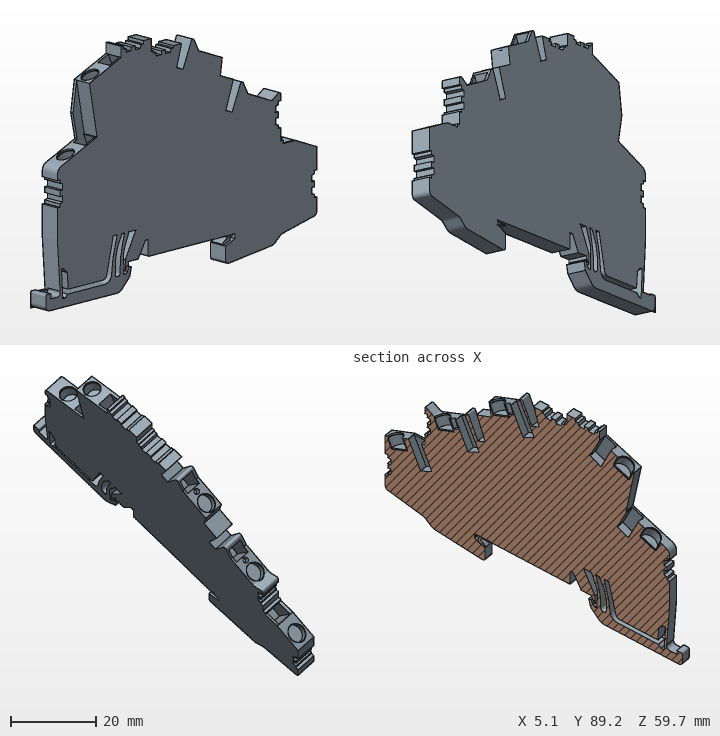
import cadquery as cq
import math

HOUSING_WIDTH = 5.1
SIDE_PLATE = 0.8
FAR_WALL = 0.5
HALF_WIDTH = HOUSING_WIDTH / 2
OVERCUT = 2.7

TOP_Z = 29.8
FOOT_Z = -29.9
SEAT_Z = -22.9
FLEX_SLOT_Z = -15.7
REAR_Y = 44.6
REAR_STEP_Y = 32.7
FRONT_RECESS_Y = -27.7
CROWN_FRONT_Y = -19.8
FRONT_Y = -40.75
FOOT_TIP_Y = -44.6
NOTCH_Y = 17.7
NOTCH_Z = -24.1
LIP_Y = 14.5
LIP_Z = -25.3
FRONT_STRIP_Y = -39.9
FOOT_SHELF_Z = -26.1
FOOT_RIDGE_Y = -42.8
FOOT_RIDGE_Z = -25.8

FOOT_TROUGH_WALL = 1.0
FOOT_TROUGH_DEPTH = 0.9
FOOT_CORNER_WALL = 0.2
FOOT_CORNER_RADIUS = 1.3

FACE_TILT = 22.3
FACE_RISE = math.tan(math.radians(FACE_TILT))
FACE_SIN = math.sin(math.radians(FACE_TILT))
FACE_COS = math.cos(math.radians(FACE_TILT))

HOLE_WIDTH = 4.0
HOLE_LENGTH = 4.6
HOLE_RIM = 0.5
CUP_DEPTH = 2.7
CUP_FLOOR = 0.4
CUP_WALL = 0.2

POCKET_TILT = 24.5
POCKET_DEPTH = 7.1
POCKET_WIDTH = HOUSING_WIDTH - SIDE_PLATE - FAR_WALL
POCKET_MID_X = (SIDE_PLATE - FAR_WALL) / 2
POCKET_LENGTH = 3.9
TEST_HOLE_DIAMETER = 1.3
TEST_HOLE_DEPTH = 2.7

SEAT_HALF_LENGTH = 3.3
SHELF_HALF_LENGTH = 2.5
GROOVE_HALF_LENGTH = 2.2
TOOTH_HALF_LENGTH = 0.7
SHELF_DEPTH = 0.8
GROOVE_DEPTH = 1.7

CLIP_WIDTH = 3.6

REAR_LOW = dict(side=1, low_y=REAR_Y, low_z=-6.95, hole_y=41.55, pocket_y=37.45,
                pocket_z=-4.1)
REAR_MIDDLE = dict(side=1, low_y=29.7, low_z=7.1, hole_y=27.55, pocket_y=23.3,
                   pocket_z=9.7, test_y=24.25)
REAR_HIGH = dict(side=1, low_y=13.5, low_z=20.7, hole_y=11.1, pocket_y=6.8,
                 pocket_z=23.4, test_y=7.8)
FRONT_HIGH = dict(side=-1, low_y=-30.2, low_z=22.8, hole_y=-27.55, pocket_y=CROWN_FRONT_Y,
                  pocket_z=27.0)
FRONT_LOW = dict(side=-1, low_y=-39.9, low_z=4.4, hole_y=-35.6, pocket_y=FRONT_RECESS_Y - 0.3,
                 pocket_z=9.4)
TERMINALS = [REAR_LOW, REAR_MIDDLE, REAR_HIGH, FRONT_HIGH, FRONT_LOW]


def prism(points, x_start, x_end):
    """Extrude a (y, z[, corner radius]) outline along X."""
    count = len(points)
    pieces = []
    for i in range(count):
        here = cq.Vector(*points[i][:2])
        radius = points[i][2] if len(points[i]) == 3 else 0
        if not radius:
            pieces.append([here])
            continue
        back = (cq.Vector(*points[i - 1][:2]) - here).normalized()
        ahead = (cq.Vector(*points[(i + 1) % count][:2]) - here).normalized()
        half_angle = back.getAngle(ahead) / 2
        tangent = radius / math.tan(half_angle)
        bulge = radius / math.sin(half_angle) - radius
        middle = here + (back + ahead).normalized() * bulge
        pieces.append([here + back * tangent, middle, here + ahead * tangent])
    wire = cq.Workplane("YZ", origin=(x_start, 0, 0)).moveTo(*pieces[0][-1].toTuple()[:2])
    for piece in pieces[1:] + pieces[:1]:
        wire = wire.lineTo(*piece[0].toTuple()[:2])
        if len(piece) == 3:
            wire = wire.threePointArc(piece[1].toTuple()[:2], piece[2].toTuple()[:2])
    return wire.close().extrude(x_end - x_start)


def through_cut(points):
    return prism(points, -HALF_WIDTH - OVERCUT, HALF_WIDTH + OVERCUT)


def face_z(terminal, y):
    """Height of a terminal's sloping face at y."""
    return terminal["low_z"] + terminal["side"] * (terminal["low_y"] - y) * FACE_RISE


def face_point(terminal, y):
    return (y, face_z(terminal, y))


def face_plane(terminal, y, depth=0.0):
    """Plane parallel to the terminal face, sunk below it by depth; its X runs down the slope."""
    side = terminal["side"]
    origin = (0, y - side * FACE_SIN * depth, face_z(terminal, y) - FACE_COS * depth)
    return cq.Plane(origin, (0, side * FACE_COS, -FACE_SIN), (0, side * FACE_SIN, FACE_COS))


def oval(terminal, top, bottom, wall=0.0):
    """Oval prism square to the face, between two depths, at the terminal's wire entry."""
    plane = face_plane(terminal, terminal["hole_y"], top)
    profile = cq.Workplane(plane).ellipse(HOLE_LENGTH / 2 + wall, HOLE_WIDTH / 2 + wall)
    return profile.extrude(top - bottom)


def latch_and_slot(y, z):
    """Latch finger and the slanted bridge slot behind it, from the finger's foot at (y, z)."""
    steps = [(0, 0), (-1.6, 3.1, 0.45), (-2.3, 3.1, 0.45), (-5.2, -3.6), (-7.2, -2.7)]
    return [(y + step[0], z + step[1], *step[2:]) for step in steps]


def housing_outline():
    rear = [
        (REAR_Y, REAR_LOW["low_z"]), face_point(REAR_LOW, 37.5), (33.5, -4.1), (33.5, -3.3),
        (REAR_STEP_Y, -3.3), (REAR_STEP_Y, 8.6, 0.5), (32.0, 8.6, 0.3),
        (29.7, 7.0, 0.7), *latch_and_slot(*face_point(REAR_MIDDLE, 21.85)),
        (17.1, 14.7), (12.8, 16.4),
    ]
    crown = [
        face_point(REAR_HIGH, 13.5), *latch_and_slot(*face_point(REAR_HIGH, 5.7)),
        (0.1, 26.7), (-9.9, 26.7), (-9.9, TOP_Z), (CROWN_FRONT_Y, TOP_Z),
        face_point(FRONT_HIGH, CROWN_FRONT_Y),
    ]
    front = [
        (-30.2, FRONT_HIGH["low_z"]), (-31.4, 15.0), face_point(FRONT_LOW, -30.05),
        face_point(FRONT_LOW, FRONT_Y) + (2.05,), (FRONT_Y, -13.3, 8.0), (FRONT_STRIP_Y, FOOT_SHELF_Z),
    ]
    spring_foot = [
        (FOOT_RIDGE_Y, FOOT_SHELF_Z), (FOOT_RIDGE_Y, FOOT_RIDGE_Z, 0.2),
        (FOOT_TIP_Y, FOOT_RIDGE_Z, 0.45), (FOOT_TIP_Y, FOOT_Z),
        (-20.15, FOOT_Z, 2.7), (-16.9, -26.6), (-16.4, -24.3), (-17.3, -24.1),
        (-17.75, -25.2), (-18.4, -25.8), (-18.9, -25.8),
        (-19.0, -20.1, 5.35), (-17.2, FLEX_SLOT_Z), (-15.0, FLEX_SLOT_Z),
    ]
    tongue = [(-18.5, -22.3), (-18.4, -24.8), (-17.9, -24.1), (-17.4, -23.7), (-17.3, SEAT_Z),
              (-14.2, SEAT_Z), (-11.9, -18.8), (-11.0, -18.8), (-11.0, SEAT_Z, 0.4)]
    hook = [
        (NOTCH_Y, SEAT_Z), (NOTCH_Y, NOTCH_Z), (LIP_Y, LIP_Z), (LIP_Y, FOOT_Z + 0.1, 0.9),
        (30.3, -28.1, 2.7), (32.8, -25.95, 1.8), (REAR_Y, -23.45, 1.2),
    ]
    return rear + crown + front + spring_foot + tongue + hook


def marker_seat(y, z, inward):
    """Cutter for a marker seat centred on (y, z) and cut in the (dy, dz) direction inward."""
    half = [
        (SEAT_HALF_LENGTH, -OVERCUT), (SEAT_HALF_LENGTH, SHELF_DEPTH), (SHELF_HALF_LENGTH, SHELF_DEPTH),
        (GROOVE_HALF_LENGTH, GROOVE_DEPTH), (TOOTH_HALF_LENGTH, GROOVE_DEPTH),
        (TOOTH_HALF_LENGTH, SHELF_DEPTH),
    ]
    mirrored = [(-along, depth) for along, depth in reversed(half)]
    dy, dz = inward
    return through_cut([
        (y + depth * dy - along * dz, z + depth * dz + along * dy) for along, depth in half + mirrored
    ])


def marker_seats():
    seats = [
        (REAR_Y, -15.9, (-1, 0)),
        (REAR_STEP_Y, 3.2, (-1, 0)),
        (-5.9, 26.9, (0, -1)),
        (-15.8, TOP_Z, (0, -1)),
        (FRONT_Y, -2.05, (1, 0)),
    ]
    return [marker_seat(*seat) for seat in seats]


def flex_slots():
    """Closed slots that leave the foot hanging on two thin ribs and a front strip."""
    narrow = [
        (-18.7, FLEX_SLOT_Z), (-19.5, FLEX_SLOT_Z), (-21.0, -18.7, 5.35), (-21.7, -21.85, 5.35),
        (-21.7, -25.9, 0.7), (-20.15, -25.9, 0.7), (-20.1, -21.85, 5.35), (-19.4, -18.7, 5.35),
    ]
    long = [
        (-21.1, FLEX_SLOT_Z), (-22.4, FLEX_SLOT_Z), (-24.8, -25.8, 1.3), (-37.2, -25.8),
        (-37.5, -21.7), (-38.8, -20.5), (-39.4, -20.5), (-39.0, -27.7), (-38.2, -27.7),
        (-37.4, -26.9), (-23.2, -26.9, 2.2), (-22.5, -20.95, 5.35),
    ]
    return [through_cut(narrow), through_cut(long)]


def front_recess():
    """Undercut below the high front face; the side plate keeps its full outline."""
    points = [
        (-30.2, FRONT_HIGH["low_z"]), face_point(FRONT_LOW, FRONT_RECESS_Y),
        face_point(FRONT_LOW, FRONT_Y), (FRONT_Y, FRONT_HIGH["low_z"]),
    ]
    return prism(points, SIDE_PLATE - HALF_WIDTH, HALF_WIDTH + OVERCUT)


def foot_trough():
    """Trough in the top of the foot between the front strip and the tip ridge."""
    floor_z = FOOT_SHELF_Z - FOOT_TROUGH_DEPTH
    points = [
        (FRONT_STRIP_Y, FOOT_RIDGE_Z), (FOOT_RIDGE_Y, FOOT_RIDGE_Z),
        (FOOT_RIDGE_Y, floor_z), (FRONT_STRIP_Y, floor_z, FOOT_TROUGH_DEPTH),
    ]
    return prism(points, FOOT_TROUGH_WALL - HALF_WIDTH, HALF_WIDTH + OVERCUT)


def foot_corner():
    """Rounding of the lower corner of the foot's tip; a thin web on the -X side stays sharp."""
    flank = FOOT_CORNER_RADIUS * math.sqrt(0.5)
    centre_y = FOOT_TIP_Y + FOOT_CORNER_RADIUS
    centre_z = FOOT_Z + FOOT_CORNER_RADIUS
    profile = (
        cq.Workplane("YZ", origin=(FOOT_CORNER_WALL - HALF_WIDTH, 0, 0))
        .moveTo(FOOT_TIP_Y, centre_z)
        .threePointArc((centre_y - flank, centre_z - flank), (centre_y, FOOT_Z))
        .lineTo(centre_y, FOOT_Z - OVERCUT)
        .lineTo(FOOT_TIP_Y - OVERCUT, FOOT_Z - OVERCUT)
        .lineTo(FOOT_TIP_Y - OVERCUT, centre_z)
        .close()
    )
    return profile.extrude(HOUSING_WIDTH + OVERCUT)


def release_pocket(terminal):
    """Slanted pocket that goes down toward the middle of the housing."""
    lean = terminal["side"] * math.tan(math.radians(POCKET_TILT))
    top_z = terminal["pocket_z"] + 2 * OVERCUT
    start_y = terminal["pocket_y"]
    end_y = start_y - POCKET_LENGTH
    floor_drop = -terminal["side"] * POCKET_LENGTH * FACE_RISE / 2
    floor_z = terminal["pocket_z"] - POCKET_DEPTH

    def on_wall(y, z):
        return (y + lean * (z - terminal["pocket_z"]), z)

    points = [
        on_wall(start_y, top_z), on_wall(end_y, top_z),
        on_wall(end_y, floor_z - floor_drop), on_wall(start_y, floor_z + floor_drop),
    ]
    return prism(points, POCKET_MID_X - POCKET_WIDTH / 2, POCKET_MID_X + POCKET_WIDTH / 2)


def wire_entry(terminal):
    """Oval hole and the wider recess below it that holds the contact cup."""
    recess_bottom = HOLE_RIM + CUP_DEPTH + CUP_FLOOR
    return oval(terminal, -OVERCUT, HOLE_RIM).union(oval(terminal, HOLE_RIM, recess_bottom, CUP_WALL))


def test_hole(terminal):
    plane = face_plane(terminal, terminal["test_y"])
    return cq.Workplane(plane).circle(TEST_HOLE_DIAMETER / 2).extrude(-TEST_HOLE_DEPTH)


def make_housing():
    body = prism(housing_outline(), -HALF_WIDTH, HALF_WIDTH)
    cutters = [*marker_seats(), *flex_slots(), front_recess(), foot_trough(), foot_corner()]
    for terminal in TERMINALS:
        cutters += [release_pocket(terminal), wire_entry(terminal)]
        if "test_y" in terminal:
            cutters.append(test_hole(terminal))
    for cutter in cutters:
        body = body.cut(cutter)
    return body


def make_contact_cup(terminal):
    inside_bottom = HOLE_RIM + CUP_DEPTH
    outside = oval(terminal, HOLE_RIM, inside_bottom + CUP_FLOOR, CUP_WALL)
    return outside.cut(oval(terminal, HOLE_RIM, inside_bottom))


def make_rail_clip():
    """Small clip in the hook's notch, resting on the notch roof and its lower lip."""
    lip_slope = (NOTCH_Z - LIP_Z) / (NOTCH_Y - LIP_Y)
    lip_end_y = 16.85
    points = [
        (17.5, SEAT_Z), (13.4, SEAT_Z), (13.55, -23.2), (15.3, -23.2), (16.0, -23.6),
        (15.0, -24.25), (14.3, -25.0), (LIP_Y, LIP_Z),
        (lip_end_y, LIP_Z + lip_slope * (lip_end_y - LIP_Y)), (16.6, -23.7), (17.5, -23.4),
    ]
    return prism(points, -CLIP_WIDTH / 2, CLIP_WIDTH / 2)


housing = make_housing()
contact_cups = [make_contact_cup(terminal) for terminal in TERMINALS]
rail_clip = make_rail_clip()

result = cq.Compound.makeCompound([
    housing.val(),
    *[cup.val() for cup in contact_cups],
    rail_clip.val(),
])